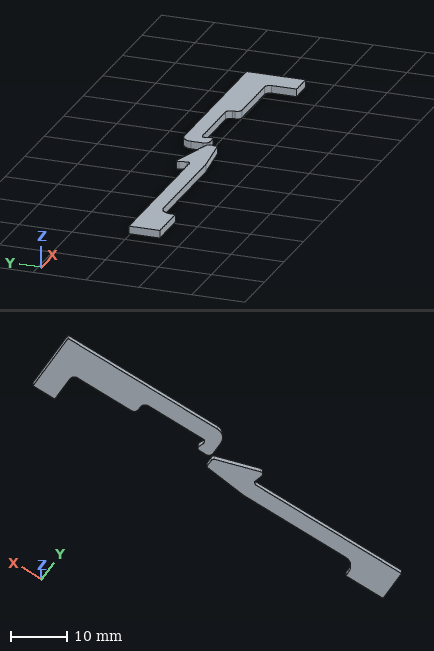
import cadquery as cq

length = 74.7
width = 11.2
thickness = 1.5
large_radius = 2.0
medium_radius = 1.0
small_radius = 0.5

arm_back_y = 5.9
beam_width = 2.9
beam_front_y = arm_back_y - beam_width
foot_length = 8.0
taper_start_x = 31.75
arm_tip_x = 40.3
tip_front_y = 3.95
tip_back_y = 5.9
barb_root_x = 31.75
barb_point_x = 30.9
barb_point_y = 8.8

catch_start_x = 40.8
hook_front_y = 5.9
hook_point_x = 43.9
hook_root_x = 43.1
recess_back_y = 8.15
step_x = 56.55
step_front_y = 5.7
leg_length = 4.7
leg_x = length - leg_length


def make_plate(corners):
    """Extrude an outline given as (x, y, radius) corners and round the corners with a nonzero radius."""
    outline = [(x, y) for x, y, radius in corners]
    plate = cq.Workplane("XY").polyline(outline).close().extrude(thickness)
    for x, y, radius in corners:
        if radius > 0:
            corner = cq.NearestToPointSelector((x, y, thickness / 2))
            plate = plate.edges("|Z").edges(corner).fillet(radius)
    return plate


def make_barbed_arm():
    """Flexible beam with a foot at one end and a tapered, undercut barb at the other."""
    return make_plate([
        (0, 0, 0),
        (foot_length, 0, 0),
        (foot_length, beam_front_y, large_radius),
        (taper_start_x, beam_front_y, 0),
        (arm_tip_x, tip_front_y, 0),
        (arm_tip_x, tip_back_y, small_radius),
        (barb_point_x, barb_point_y, small_radius),
        (barb_root_x, arm_back_y, small_radius),
        (0, arm_back_y, 0),
    ])


def make_hooked_catch():
    """Stepped bar with an undercut hook at one end and a leg at the other."""
    return make_plate([
        (catch_start_x, width, large_radius),
        (catch_start_x, hook_front_y, medium_radius),
        (hook_point_x, hook_front_y, small_radius),
        (hook_root_x, recess_back_y, small_radius),
        (step_x, recess_back_y, medium_radius),
        (step_x, step_front_y, medium_radius),
        (leg_x, step_front_y, medium_radius),
        (leg_x, 0, 0),
        (length, 0, 0),
        (length, width, 0),
    ])


barbed_arm = make_barbed_arm()
hooked_catch = make_hooked_catch()
result = cq.Compound.makeCompound([barbed_arm.val(), hooked_catch.val()])